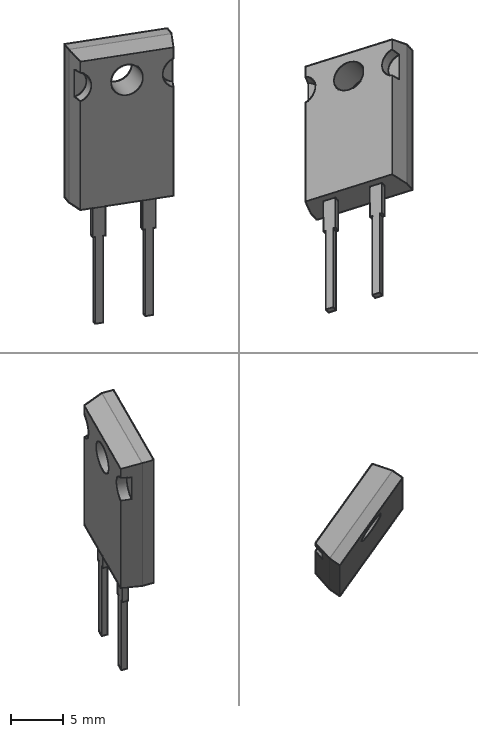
import cadquery as cq

total_height = 28.9
body_thickness = 3.2
body_width = 10.4
body_height = 16.2

slab_thickness = 1.2
taper_inset = 0.5

hole_diameter = 3.2
hole_from_top = 3.18
notch_floor_radius = 1.45
notch_mouth_radius = 1.6
notch_depth = 1.0

lead_spacing = 5.05
lead_thickness = 0.6
lead_start_x = 1.82
lead_wide_width = 1.3
lead_narrow_width = 0.8
lead_wide_length = 3.5

body_bottom = total_height - body_height
hole_z = total_height - hole_from_top


def body_section(x, inset):
    """Wire in a plane of constant X, inset on the top and both sides only."""
    half_width = body_width / 2 - inset
    top = total_height - inset
    return cq.Workplane("YZ", origin=(x, 0, 0)).polyline([
        (-half_width, body_bottom),
        (half_width, body_bottom),
        (half_width, top),
        (-half_width, top),
    ]).close().val()


def make_body():
    """Straight slab with a tapered part on its +X face."""
    slab = cq.Workplane("XY").box(
        slab_thickness, body_width, body_height, centered=(False, True, False)
    ).translate((0, 0, body_bottom))
    tapered = cq.Solid.makeLoft(
        [body_section(slab_thickness, 0), body_section(body_thickness, taper_inset)], True
    )
    return slab.union(cq.Workplane(obj=tapered))


def make_hole():
    """Cylinder through the full thickness."""
    return (
        cq.Workplane("YZ", origin=(0, 0, hole_z))
        .circle(hole_diameter / 2)
        .extrude(body_thickness)
    )


def make_notch(side):
    """Cone centered on a side edge of the body, widening toward the +X face."""
    return cq.Workplane(obj=cq.Solid.makeCone(
        notch_floor_radius,
        notch_mouth_radius,
        notch_depth,
        pnt=cq.Vector(body_thickness - notch_depth, side * body_width / 2, hole_z),
        dir=cq.Vector(1, 0, 0),
    ))


def make_lead(y):
    """Flat lead with a wide shoulder below the body and a narrow tip."""
    shoulder_bottom = body_bottom - lead_wide_length
    half_wide = lead_wide_width / 2
    half_narrow = lead_narrow_width / 2
    return cq.Workplane("YZ", origin=(lead_start_x, y, 0)).polyline([
        (-half_narrow, 0),
        (half_narrow, 0),
        (half_narrow, shoulder_bottom),
        (half_wide, shoulder_bottom),
        (half_wide, body_bottom),
        (-half_wide, body_bottom),
        (-half_wide, shoulder_bottom),
        (-half_narrow, shoulder_bottom),
    ]).close().extrude(lead_thickness)


result = make_body().cut(make_hole())
for side in (-1, 1):
    result = result.cut(make_notch(side))
    result = result.union(make_lead(side * lead_spacing / 2))